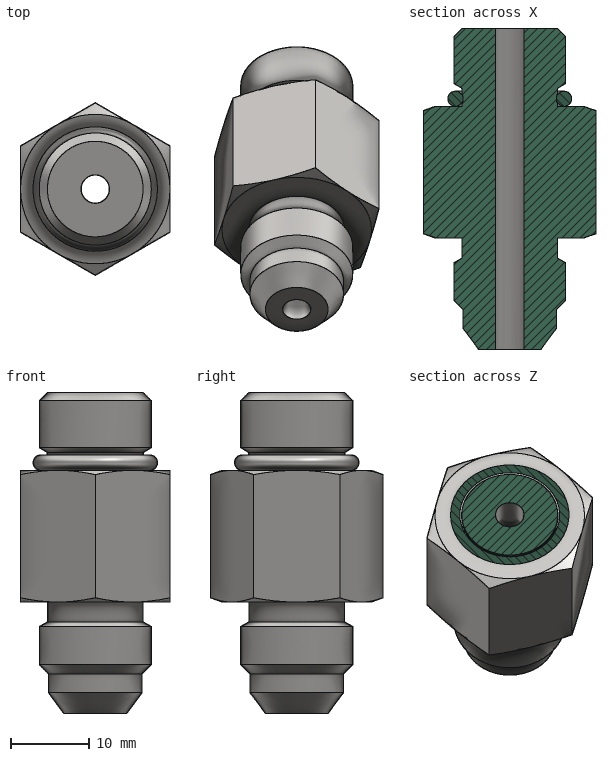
import cadquery as cq
import math

total_height = 40.92
bore_dia = 3.57

flare_angle = 36.5
flare_height = 2.67
spigot_dia = 11.94
spigot_top = 5.08

lower_thread_dia = 14.28
upper_thread_dia = 14.29
lower_relief_dia = 12.19
upper_relief_dia = 12.29
relief_angle = 30.0
lower_thread_top = 11.09
upper_thread_bottom = 33.88
top_chamfer = 1.05

across_flats = 19.05
hex_half_sector = 30.0
hex_bottom = 14.22
hex_top = 31.0
hex_corner_drop = 0.54

ring_inner_dia = 11.94
ring_section_dia = 1.96

spigot_radius = spigot_dia / 2
lower_relief_radius = lower_relief_dia / 2
upper_relief_radius = upper_relief_dia / 2
lower_thread_radius = lower_thread_dia / 2
upper_thread_radius = upper_thread_dia / 2
nose_radius = spigot_radius - flare_height * math.tan(math.radians(flare_angle))
lower_chamfer = lower_thread_radius - spigot_radius
relief_slope = math.tan(math.radians(relief_angle))
lower_shoulder = (lower_thread_radius - lower_relief_radius) * relief_slope
upper_shoulder = (upper_thread_radius - upper_relief_radius) * relief_slope

flat_radius = across_flats / 2
corner_radius = flat_radius / math.cos(math.radians(hex_half_sector))

ring_section_radius = ring_section_dia / 2
ring_inner_radius = ring_inner_dia / 2
ring_center_radius = ring_inner_radius + ring_section_radius
ring_center_z = hex_top + ring_section_radius
groove_half_height = math.sqrt(ring_section_radius**2 - (ring_center_radius - upper_relief_radius) ** 2)


def revolve_about_z(profile):
    """Revolve a closed XZ profile a full turn about the Z axis."""
    return profile.revolve(360, (0, 0, 0), (0, 1, 0))


def make_shank():
    """Turned core: flared nose, both threads, reliefs and the O-ring groove.

    The two relief diameters blend into each other inside the hexagon.
    """
    profile = (
        cq.Workplane("XZ")
        .lineTo(nose_radius, 0)
        .lineTo(spigot_radius, flare_height)
        .lineTo(spigot_radius, spigot_top)
        .lineTo(lower_thread_radius, spigot_top + lower_chamfer)
        .lineTo(lower_thread_radius, lower_thread_top)
        .lineTo(lower_relief_radius, lower_thread_top + lower_shoulder)
        .lineTo(lower_relief_radius, hex_bottom)
        .lineTo(upper_relief_radius, hex_top)
        .lineTo(upper_relief_radius, ring_center_z - groove_half_height)
        .threePointArc(
            (ring_inner_radius, ring_center_z),
            (upper_relief_radius, ring_center_z + groove_half_height),
        )
        .lineTo(upper_relief_radius, upper_thread_bottom - upper_shoulder)
        .lineTo(upper_thread_radius, upper_thread_bottom)
        .lineTo(upper_thread_radius, total_height - top_chamfer)
        .lineTo(upper_thread_radius - top_chamfer, total_height)
        .lineTo(0, total_height)
        .close()
    )
    return revolve_about_z(profile)


def make_hexagon():
    """Hexagon with flats facing +X and -X and conical chamfers at both ends."""
    prism = (
        cq.Workplane("XY", origin=(0, 0, hex_bottom))
        .transformed(rotate=(0, 0, hex_half_sector))
        .polygon(6, 2 * corner_radius)
        .extrude(hex_top - hex_bottom)
    )
    chamfer_envelope = revolve_about_z(
        cq.Workplane("XZ")
        .moveTo(0, hex_bottom)
        .lineTo(flat_radius, hex_bottom)
        .lineTo(corner_radius, hex_bottom + hex_corner_drop)
        .lineTo(corner_radius, hex_top - hex_corner_drop)
        .lineTo(flat_radius, hex_top)
        .lineTo(0, hex_top)
        .close()
    )
    return prism.intersect(chamfer_envelope)


def make_fitting():
    """One-piece fitting with its through bore."""
    bore = cq.Workplane("XY").circle(bore_dia / 2).extrude(total_height)
    return make_shank().union(make_hexagon()).cut(bore).solids()


def make_o_ring():
    """Round-section seal ring seated on top of the hexagon."""
    section = cq.Workplane("XZ").center(ring_center_radius, ring_center_z).circle(ring_section_radius)
    return section.revolve(360, (-ring_center_radius, 0, 0), (-ring_center_radius, 1, 0))


fitting = make_fitting()
o_ring = make_o_ring()

result = cq.Compound.makeCompound([fitting.val(), o_ring.val()])